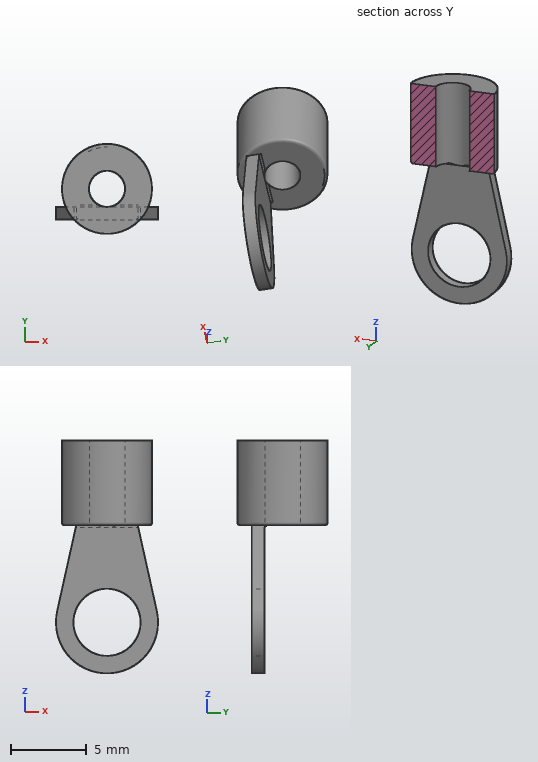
import cadquery as cq
import math

total_height = 15.37

barrel_diameter = 5.95
barrel_height = 5.61
barrel_edge_radius = 0.2
bore_diameter = 2.37

ring_diameter = 6.75
ring_hole_diameter = 4.41
tongue_root_width = 4.07
tongue_thickness = 0.85
root_chamfer = 0.14

ring_radius = ring_diameter / 2
root_half_width = tongue_root_width / 2
barrel_bottom = total_height - barrel_height
ring_center_z = ring_radius
tongue_back_y = -bore_diameter / 2


def make_barrel():
    return (
        cq.Workplane("XY")
        .workplane(offset=barrel_bottom)
        .circle(barrel_diameter / 2)
        .extrude(barrel_height)
        .faces("<Z")
        .edges()
        .fillet(barrel_edge_radius)
    )


def make_tongue():
    root_rise = barrel_bottom - ring_center_z
    root_distance = math.hypot(root_half_width, root_rise)
    root_angle = math.atan2(root_rise, root_half_width)
    tangent_angle = root_angle - math.acos(ring_radius / root_distance)
    tangent_x = ring_radius * math.cos(tangent_angle)
    tangent_z = ring_center_z + ring_radius * math.sin(tangent_angle)

    return (
        cq.Workplane("XZ", origin=(0, tongue_back_y, 0))
        .moveTo(-root_half_width, barrel_bottom)
        .lineTo(-tangent_x, tangent_z)
        .threePointArc((0, 0), (tangent_x, tangent_z))
        .lineTo(root_half_width, barrel_bottom)
        .close()
        .extrude(tongue_thickness)
        .faces("<Y")
        .workplane(origin=(0, 0, ring_center_z))
        .hole(ring_hole_diameter)
    )


def make_root_gusset():
    return (
        cq.Workplane("YZ")
        .moveTo(tongue_back_y, barrel_bottom)
        .lineTo(tongue_back_y + root_chamfer, barrel_bottom)
        .lineTo(tongue_back_y, barrel_bottom - root_chamfer)
        .close()
        .extrude(root_half_width, both=True)
    )


bore = cq.Workplane("XY").circle(bore_diameter / 2).extrude(total_height)
result = make_barrel().union(make_tongue()).union(make_root_gusset()).cut(bore)